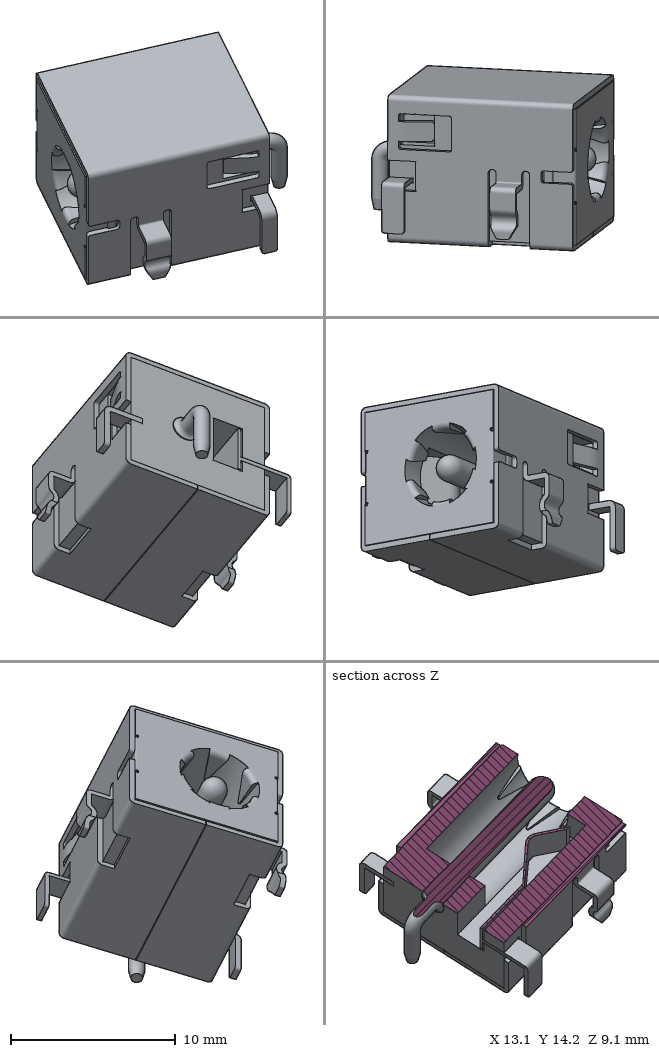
import cadquery as cq
import math


shell_width = 10.0
shell_height = 9.1
shell_length = 11.6
sheet = 0.35
seam_gap = 0.05

side_x = shell_width / 2
inner_x = side_x - sheet
inner_z = shell_height / 2 - sheet

housing_front_y = -11.7
bore_diameter = 5.2
bore_x = 0.85
bore_z = 0.05
bore_floor_y = -2.7

rib_count = 6
rib_height = 0.33
rib_tip_height = 0.1
rib_length = 2.4
rib_half_width = 0.65
rib_tip_half_width = 0.08

pin_diameter = 1.65
pin_tip_gap = 0.18
collar_diameter = 1.7
collar_front_y = -2.0
tail_diameter = 1.0
flare_end_y = 0.3
tail_y = 2.0
tail_bend_radius = 0.7
tail_taper_z = -2.98
tail_tip_diameter = 0.72
feet_z = -3.67

leg_outer_x = 13.12 / 2
leg_y = -7.6
leg_width = 1.6
leg_top_z = -0.51
leg_root_radius = 0.1
leg_slot_width = 0.5
leg_slot_top_z = 0.3
leg_gap_bottom_reach = 1.1
bulge_z = -2.56
bulge_half_height = 0.71
bulge_depth = 0.35
leg_tip_width = 0.76
leg_tip_fillet = 0.12

window_rear_y = -0.68
window_front_y = -4.0
window_low_z = 1.26
window_high_z = 3.47
window_corner = 0.15
tab_low_z = 1.75
tab_high_z = 2.98
tab_end_y = -2.8
tab_bend_length = 0.6
tab_angle = math.radians(15)
tab_corner = 0.2
pocket_front_y = -2.86
pocket_low_z = 1.49
pocket_high_z = 3.44
pocket_depth = 0.95

front_slot_height = 0.74
front_slot_end_y = -9.6
front_slot_corner = 0.2
front_slot_mouth_radius = 0.17

edge_half_length = 1.65
edge_radius = 0.1
edge_relief_radius = 0.095

key_front_y = -10.28
key_height = 0.12
key_ramp_length = 0.15

opening_length = 1.75
opening_low_z = -1.3
opening_high_z = 0.56

terminal_outer_x = 6.5
terminal_slot_clearance = 0.1
left_terminal_length = 1.4
left_terminal_thickness = 0.3
left_terminal_top_z = -0.55
right_terminal_length = 1.0
right_terminal_thickness = 0.4
right_terminal_top_z = -0.47
right_terminal_bend_radius = 0.5
right_terminal_root_x = 3.85
terminal_corner = 0.2

leaf_thickness = 0.2
leaf_x = -2.8
leaf_half_height = 1.65
leaf_bend_y = -4.2
leaf_fold_x = -0.7
leaf_fold_y = -7.2
leaf_fold_radius = 0.85
leaf_front_angle = math.radians(52)
leaf_front_x = -2.4
leaf_cavity_front_y = -10.0
leaf_cavity_x = -1.08
leaf_cavity_back_x = -3.1
leaf_cavity_half_height = 1.74


def box(x0, x1, y0, y1, z0, z1):
    """Box between two opposite corners."""
    return cq.Workplane("XY").box(x1 - x0, y1 - y0, z1 - z0, centered=False).translate((x0, y0, z0))


def mirrored(left):
    """Copy of a left-hand shape on the right-hand side."""
    return left.mirror("YZ")


def front_slot_channel():
    """Left front slot without its flared mouth."""
    half = front_slot_height / 2
    slot = box(-side_x, -inner_x, -shell_length, front_slot_end_y, -half, half)
    return slot.edges("|X and >Y").fillet(front_slot_corner)


def front_slot_cutter():
    """Left front slot with its rounded mouth."""
    half = front_slot_height / 2
    mouth_half = half + front_slot_mouth_radius
    mouth = box(
        -side_x,
        -inner_x,
        -shell_length,
        -shell_length + front_slot_mouth_radius,
        -mouth_half,
        mouth_half,
    )
    for side in (-1, 1):
        rounding = (
            cq.Workplane("YZ")
            .center(-shell_length + front_slot_mouth_radius, side * mouth_half)
            .circle(front_slot_mouth_radius)
            .extrude(shell_width, both=True)
        )
        mouth = mouth.cut(rounding)
    return front_slot_channel().union(mouth)


def latch_tab():
    """Left latch tab: curls inward from the rear edge of its window, then runs straight."""
    bend_radius = tab_bend_length / math.sin(tab_angle)

    def bend_point(angle, depth):
        radius = bend_radius - depth
        x = -side_x + bend_radius - radius * math.cos(angle)
        return (x, window_rear_y - radius * math.sin(angle))

    straight_length = (window_rear_y - tab_bend_length - tab_end_y) / math.cos(tab_angle)

    def end_point(depth):
        x, y = bend_point(tab_angle, depth)
        return (x + straight_length * math.sin(tab_angle), y - straight_length * math.cos(tab_angle))

    tab = (
        cq.Workplane("XY")
        .workplane(offset=tab_low_z)
        .moveTo(*bend_point(0, 0))
        .threePointArc(bend_point(tab_angle / 2, 0), bend_point(tab_angle, 0))
        .lineTo(*end_point(0))
        .lineTo(*end_point(sheet))
        .lineTo(*bend_point(tab_angle, sheet))
        .threePointArc(bend_point(tab_angle / 2, sheet), bend_point(0, sheet))
        .close()
        .extrude(tab_high_z - tab_low_z)
    )
    outline = (
        box(-side_x, side_x, tab_end_y, window_rear_y, tab_low_z, tab_high_z)
        .edges("|X and <Y")
        .fillet(tab_corner)
    )
    return tab.intersect(outline)


def leg():
    """Left leg: bends out of the side wall, turns down, bulges inward and ends in a tapered tip."""
    flank_radius = (bulge_half_height**2 + bulge_depth**2) / (4 * bulge_depth)
    swing = math.asin(bulge_half_height / (2 * flank_radius))
    flank_x = -leg_outer_x + flank_radius
    crest_x = -leg_outer_x + bulge_depth - flank_radius
    bulge_top = bulge_z + bulge_half_height
    bulge_bottom = bulge_z - bulge_half_height

    def flank_point(angle, depth, end_z):
        radius = flank_radius - depth
        direction = 1 if end_z < bulge_z else -1
        return (flank_x - radius * math.cos(angle), end_z + direction * radius * math.sin(angle))

    def crest_point(angle, depth):
        radius = flank_radius + depth
        return (crest_x + radius * math.cos(angle), bulge_z + radius * math.sin(angle))

    root_z = leg_top_z + leg_root_radius
    back_radius = leg_root_radius + sheet
    diagonal = math.sqrt(0.5)
    root_x = -side_x - leg_root_radius
    shoulder = (-leg_outer_x + sheet, leg_top_z - sheet)
    profile = (
        cq.Workplane("XZ")
        .moveTo(-side_x, leg_slot_top_z)
        .lineTo(-side_x, root_z)
        .threePointArc(
            (root_x + leg_root_radius * diagonal, root_z - leg_root_radius * diagonal), (root_x, leg_top_z)
        )
        .lineTo(shoulder[0], leg_top_z)
        .threePointArc(
            (shoulder[0] - sheet * diagonal, shoulder[1] + sheet * diagonal), (-leg_outer_x, shoulder[1])
        )
        .lineTo(-leg_outer_x, bulge_top)
        .threePointArc(flank_point(swing / 2, 0, bulge_top), flank_point(swing, 0, bulge_top))
        .threePointArc(crest_point(0, 0), crest_point(-swing, 0))
        .threePointArc(flank_point(swing / 2, 0, bulge_bottom), (-leg_outer_x, bulge_bottom))
        .lineTo(-leg_outer_x, feet_z)
        .lineTo(shoulder[0], feet_z)
        .lineTo(shoulder[0], bulge_bottom)
        .threePointArc(
            flank_point(swing / 2, sheet, bulge_bottom), flank_point(swing, sheet, bulge_bottom)
        )
        .threePointArc(crest_point(0, sheet), crest_point(swing, sheet))
        .threePointArc(flank_point(swing / 2, sheet, bulge_top), (shoulder[0], bulge_top))
        .lineTo(*shoulder)
        .lineTo(root_x, shoulder[1])
        .threePointArc(
            (root_x + back_radius * diagonal, root_z - back_radius * diagonal), (-inner_x, root_z)
        )
        .lineTo(-inner_x, leg_slot_top_z)
        .close()
    )
    bent_strip = profile.extrude(leg_width / 2, both=True).translate((0, leg_y, 0))

    taper_z = bulge_z - bulge_half_height / 2
    outline = (
        cq.Workplane("YZ")
        .moveTo(leg_y - leg_width / 2, leg_slot_top_z)
        .lineTo(leg_y - leg_width / 2, taper_z)
        .lineTo(leg_y - leg_tip_width / 2, feet_z)
        .lineTo(leg_y + leg_tip_width / 2, feet_z)
        .lineTo(leg_y + leg_width / 2, taper_z)
        .lineTo(leg_y + leg_width / 2, leg_slot_top_z)
        .close()
        .extrude(shell_width, both=True)
        .edges("|X and <Z")
        .fillet(leg_tip_fillet)
    )
    return bent_strip.intersect(outline)


def leg_gap_cutter():
    """Left gap around a leg: two round-ended slots, joined below the leg root,
    running on into the bottom wall."""
    gap = None
    for side in (-1, 1):
        slot_y = leg_y + side * (leg_width + leg_slot_width) / 2
        slot = box(
            -side_x,
            -inner_x,
            slot_y - leg_slot_width / 2,
            slot_y + leg_slot_width / 2,
            -shell_height / 2,
            leg_slot_top_z - leg_slot_width / 2,
        )
        round_end = (
            cq.Workplane("YZ")
            .workplane(offset=-side_x)
            .center(slot_y, leg_slot_top_z - leg_slot_width / 2)
            .circle(leg_slot_width / 2)
            .extrude(sheet)
        )
        slot = slot.union(round_end)
        gap = slot if gap is None else gap.union(slot)
    blank = box(
        -side_x,
        -inner_x,
        leg_y - leg_width / 2,
        leg_y + leg_width / 2,
        -shell_height / 2,
        leg_slot_top_z,
    )
    bottom = box(
        -side_x,
        -side_x + leg_gap_bottom_reach,
        leg_y - leg_width / 2 - leg_slot_width,
        leg_y + leg_width / 2 + leg_slot_width,
        -shell_height / 2,
        -inner_z,
    )
    return gap.union(blank).union(bottom)


def build_shell():
    sleeve = (
        box(-side_x, side_x, -shell_length, 0, -shell_height / 2, shell_height / 2)
        .edges("|Y")
        .fillet(sheet)
        .cut(box(-inner_x, inner_x, -shell_length, 0, -inner_z, inner_z))
        .cut(box(-seam_gap / 2, seam_gap / 2, -shell_length, 0, -shell_height / 2, -inner_z))
    )
    window = (
        box(-side_x, -inner_x, window_front_y, window_rear_y, window_low_z, window_high_z)
        .edges("|X")
        .fillet(window_corner)
    )
    opening = box(-side_x, -inner_x, -opening_length, 0, opening_low_z, opening_high_z)
    cutter = window.union(opening).union(leg_gap_cutter()).union(front_slot_cutter())
    formed = (latch_tab(), leg())
    sleeve = sleeve.cut(cutter).cut(mirrored(cutter))
    for piece in formed:
        sleeve = sleeve.union(piece).union(mirrored(piece))
    return sleeve


def bore_ribs():
    """Ribs on the bore wall, pointed toward the rear."""
    bore_radius = bore_diameter / 2
    rib_radius = bore_radius - rib_height
    rear_y = housing_front_y + rib_length
    diagonal = math.sqrt(0.5)
    ring = (
        cq.Workplane("XY")
        .moveTo(bore_radius, housing_front_y)
        .threePointArc(
            (bore_radius - rib_height * diagonal, housing_front_y + rib_height * (1 - diagonal)),
            (rib_radius, housing_front_y + rib_height),
        )
        .lineTo(bore_radius - rib_tip_height, rear_y)
        .lineTo(bore_radius, rear_y)
        .close()
        .revolve(360, (0, 0, 0), (0, 1, 0))
    )
    arrow = (
        cq.Workplane("XY")
        .moveTo(-rib_half_width, housing_front_y)
        .lineTo(rib_half_width, housing_front_y)
        .lineTo(rib_tip_half_width, rear_y)
        .lineTo(-rib_tip_half_width, rear_y)
        .close()
        .extrude(bore_diameter)
    )
    rib = ring.intersect(arrow)
    ribs = []
    for index in range(rib_count):
        turned = rib.rotate((0, 0, 0), (0, 1, 0), index * 360 / rib_count)
        ribs.append(turned.translate((bore_x, 0, bore_z)))
    return ribs


def side_edge_cutter():
    """Rounds the left front edge of the housing, with a round relief at each end of the rounding."""
    diagonal = math.sqrt(0.5)
    edge_x = -inner_x + edge_radius
    edge_y = housing_front_y + edge_radius
    rounding = (
        cq.Workplane("XY")
        .moveTo(-inner_x, edge_y)
        .threePointArc(
            (edge_x - edge_radius * diagonal, edge_y - edge_radius * diagonal), (edge_x, housing_front_y)
        )
        .lineTo(-inner_x, housing_front_y)
        .close()
        .extrude(edge_half_length, both=True)
    )
    reliefs = (
        cq.Workplane("XZ")
        .workplane(offset=-edge_y)
        .pushPoints([(edge_x, side * edge_half_length) for side in (-1, 1)])
        .circle(edge_relief_radius)
        .extrude(edge_radius)
    )
    return rounding.union(reliefs).translate((0, 0, bore_z))


def side_key():
    """Left key in the front slot: ramped at its rear end and rounded along its front edge."""
    diagonal = math.sqrt(0.5)
    key_x = -inner_x - key_height
    profile = (
        cq.Workplane("XY")
        .moveTo(-inner_x, front_slot_end_y)
        .lineTo(key_x, front_slot_end_y - key_ramp_length)
        .lineTo(key_x, key_front_y + key_height)
        .threePointArc(
            (-inner_x - key_height * diagonal, key_front_y + key_height * (1 - diagonal)),
            (-inner_x, key_front_y),
        )
        .close()
        .extrude(front_slot_height, both=True)
    )
    return profile.intersect(front_slot_channel())


def build_housing():
    block = box(-inner_x, inner_x, housing_front_y, 0, -inner_z, inner_z)
    bore = (
        cq.Workplane("XZ")
        .workplane(offset=-bore_floor_y)
        .center(bore_x, bore_z)
        .circle(bore_diameter / 2)
        .extrude(bore_floor_y - housing_front_y)
    )
    block = block.cut(bore)
    for rib in bore_ribs():
        block = block.union(rib)

    pin_hole = (
        cq.Workplane("XZ")
        .center(bore_x, bore_z)
        .circle(pin_diameter / 2)
        .extrude(-bore_floor_y)
        .faces(">Y")
        .workplane(origin=(bore_x, 0, bore_z))
        .circle(collar_diameter / 2)
        .extrude(collar_front_y)
    )
    leaf_cavity = box(
        leaf_cavity_back_x,
        leaf_cavity_x,
        leaf_cavity_front_y,
        0,
        bore_z - leaf_cavity_half_height,
        bore_z + leaf_cavity_half_height,
    )
    left_slot = box(
        -inner_x,
        leaf_x,
        -left_terminal_length - terminal_slot_clearance,
        0,
        left_terminal_top_z - left_terminal_thickness,
        left_terminal_top_z,
    )
    right_slot = box(
        right_terminal_root_x,
        inner_x,
        -right_terminal_length - terminal_slot_clearance,
        0,
        right_terminal_top_z - right_terminal_thickness,
        right_terminal_top_z,
    )
    pocket = box(
        -inner_x, -inner_x + pocket_depth, pocket_front_y, window_rear_y, pocket_low_z, pocket_high_z
    )
    block = block.cut(pin_hole).cut(leaf_cavity).cut(left_slot).cut(right_slot)
    for recess in (pocket, side_edge_cutter()):
        block = block.cut(recess).cut(mirrored(recess))
    block = block.union(side_key()).union(mirrored(side_key()))
    return block


def build_pin():
    """Round-nosed pin with a collar and flared neck, whose thinner tail turns down behind the housing."""
    pin_radius = pin_diameter / 2
    tail_radius = tail_diameter / 2
    nose_y = housing_front_y + pin_tip_gap + pin_radius
    collar_radius = collar_diameter / 2
    flare_radius = collar_radius - tail_radius
    flare_start_y = flare_end_y - flare_radius
    diagonal = math.sqrt(0.5)
    body = (
        cq.Workplane("XY")
        .moveTo(0, nose_y - pin_radius)
        .threePointArc((pin_radius * diagonal, nose_y - pin_radius * diagonal), (pin_radius, nose_y))
        .lineTo(pin_radius, collar_front_y)
        .lineTo(collar_radius, collar_front_y)
        .lineTo(collar_radius, flare_start_y)
        .threePointArc(
            (collar_radius - flare_radius * diagonal, flare_start_y + flare_radius * (1 - diagonal)),
            (tail_radius, flare_end_y),
        )
        .lineTo(0, flare_end_y)
        .close()
        .revolve(360, (0, 0, 0), (0, 1, 0))
    )
    bend_y = tail_y - tail_bend_radius
    taper_z = tail_taper_z - bore_z
    tail_path = (
        cq.Workplane("YZ")
        .moveTo(flare_end_y, 0)
        .lineTo(bend_y, 0)
        .threePointArc(
            (bend_y + tail_bend_radius * diagonal, -tail_bend_radius * (1 - diagonal)),
            (tail_y, -tail_bend_radius),
        )
        .lineTo(tail_y, taper_z)
    )
    tail = cq.Workplane("XZ").workplane(offset=-flare_end_y).circle(tail_radius).sweep(tail_path)
    tip = (
        cq.Workplane("XY")
        .workplane(offset=taper_z)
        .center(0, tail_y)
        .circle(tail_radius)
        .workplane(offset=feet_z - tail_taper_z)
        .circle(tail_tip_diameter / 2)
        .loft()
    )
    return body.union(tail).union(tip).translate((bore_x, 0, bore_z))


def terminal_foot(root_x, length, thickness, top_z, bend_radius):
    """Right-hand L-shaped solder foot at the rear, from its root out and down."""
    foot = (
        cq.Workplane("XZ")
        .moveTo(root_x, top_z)
        .lineTo(terminal_outer_x, top_z)
        .lineTo(terminal_outer_x, feet_z)
        .lineTo(terminal_outer_x - thickness, feet_z)
        .lineTo(terminal_outer_x - thickness, top_z - thickness)
        .lineTo(root_x, top_z - thickness)
        .close()
        .extrude(length)
    )
    foot = foot.edges("|Y and >X and >Z").fillet(bend_radius)
    inner_radius = bend_radius - thickness
    if inner_radius > 0:
        inner_corner = cq.NearestToPointSelector(
            (terminal_outer_x - thickness, -length / 2, top_z - thickness)
        )
        foot = foot.edges(inner_corner).fillet(inner_radius)
    return foot.faces("<Z").edges("|X").fillet(terminal_corner)


def build_right_terminal():
    return terminal_foot(
        right_terminal_root_x,
        right_terminal_length,
        right_terminal_thickness,
        right_terminal_top_z,
        right_terminal_bend_radius,
    )


def leaf_face(setback):
    """Corners of one face of the leaf, from the rear forward; setback is its depth behind the bore side."""
    rear_angle = math.atan2(leaf_fold_x - leaf_x, leaf_bend_y - leaf_fold_y)
    straight_x = leaf_x - setback
    bend_y = leaf_bend_y + setback * math.tan(rear_angle / 2)
    rear_shift = setback / math.sin(rear_angle)
    front_shift = setback / math.cos(leaf_front_angle)
    rear_slope = 1 / math.tan(rear_angle)
    front_slope = math.tan(leaf_front_angle)
    fold_step = (rear_shift + front_shift) / (rear_slope + front_slope)
    fold_x = leaf_fold_x - fold_step
    fold_y = leaf_fold_y + front_shift - fold_step * front_slope
    end_y = fold_y - (fold_x - leaf_front_x) * front_slope
    return [(straight_x, 0), (straight_x, bend_y), (fold_x, fold_y), (leaf_front_x, end_y)]


def spring_leaf():
    """Upright leaf that runs forward beside the bore and folds into it with a rounded crest."""
    leaf = (
        cq.Workplane("XY")
        .polyline(leaf_face(0) + leaf_face(leaf_thickness)[::-1])
        .close()
        .extrude(leaf_half_height, both=True)
    )
    inner_fold = leaf_face(leaf_thickness)[2]
    leaf = leaf.edges("|Z and >X").fillet(leaf_fold_radius)
    leaf = leaf.edges(cq.NearestToPointSelector((*inner_fold, 0))).fillet(leaf_fold_radius - leaf_thickness)
    return leaf.translate((0, 0, bore_z))


def build_left_terminal():
    foot = terminal_foot(
        -leaf_x,
        left_terminal_length,
        left_terminal_thickness,
        left_terminal_top_z,
        left_terminal_thickness,
    )
    return mirrored(foot).union(spring_leaf())


shell = build_shell()
housing = build_housing()
pin = build_pin()
left_terminal = build_left_terminal()
right_terminal = build_right_terminal()

result = cq.Compound.makeCompound(
    [shell.val(), housing.val(), pin.val(), left_terminal.val(), right_terminal.val()]
)